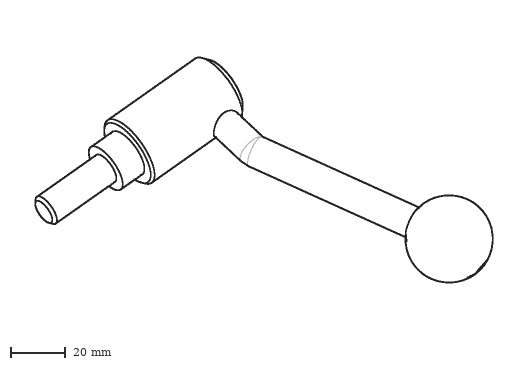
import cadquery as cq
import math


stud_radius = 6.0
stud_length = 29.9
stud_chamfer = 1.2

collar_radius = 9.5
collar_length = 10.5

hub_radius = 14.0
hub_length = 45.8
hub_top_chamfer = 2.5
hub_bottom_chamfer = 1.0
hub_top_y = collar_length + hub_length

ball_radius = 16.0
overall_width = 136.0
overall_depth = 119.81
ball_x = overall_width - hub_radius - ball_radius
ball_y = overall_depth - stud_length - ball_radius

arm_radius = 6.0
arm_y = 46.0
arm_angle = 20.0
bend_radius = 4.0

bend_corner_x = ball_x - (ball_y - arm_y) / math.tan(math.radians(arm_angle))
bend_tangent = bend_radius * math.tan(math.radians(arm_angle / 2))
bend_start_x = bend_corner_x - bend_tangent
inclined_length = math.hypot(ball_x - bend_corner_x, ball_y - arm_y) - bend_tangent
arm_direction = cq.Vector(math.cos(math.radians(arm_angle)), math.sin(math.radians(arm_angle)), 0)
bend_end = cq.Vector(bend_corner_x, arm_y, 0) + arm_direction * bend_tangent


def make_shaft():
    """Stud, collar and hub as one turned profile about the Y axis."""
    profile = (
        cq.Workplane("XY")
        .moveTo(0, -stud_length)
        .lineTo(stud_radius - stud_chamfer, -stud_length)
        .lineTo(stud_radius, stud_chamfer - stud_length)
        .lineTo(stud_radius, 0)
        .lineTo(collar_radius, 0)
        .lineTo(collar_radius, collar_length)
        .lineTo(hub_radius - hub_bottom_chamfer, collar_length)
        .lineTo(hub_radius, collar_length + hub_bottom_chamfer)
        .lineTo(hub_radius, hub_top_y - hub_top_chamfer)
        .lineTo(hub_radius - hub_top_chamfer, hub_top_y)
        .lineTo(0, hub_top_y)
        .close()
    )
    return profile.revolve(360, (0, 0, 0), (0, 1, 0))


def make_rod(start, direction, length):
    """Round arm section from a start point along a direction."""
    return cq.Workplane(cq.Solid.makeCylinder(arm_radius, length, start, direction))


def make_bend():
    """Tight bend: the arm section turned about a pivot that lies inside the section.

    Only the part of the section on the outer side of the pivot is turned; on the
    inner side the two rods run into each other and form a mitre.
    """
    half_chord = math.sqrt(arm_radius**2 - bend_radius**2)
    section = (
        cq.Workplane("YZ", origin=(bend_start_x, arm_y, 0))
        .moveTo(bend_radius, half_chord)
        .threePointArc((-arm_radius, 0), (bend_radius, -half_chord))
        .close()
    )
    return section.revolve(arm_angle, (bend_radius, 0, 0), (bend_radius, 1, 0))


def make_arm():
    straight = make_rod(cq.Vector(0, arm_y, 0), cq.Vector(1, 0, 0), bend_start_x)
    inclined = make_rod(bend_end, arm_direction, inclined_length)
    return straight.union(make_bend()).union(inclined)


def make_ball():
    return cq.Workplane("XY", origin=(ball_x, ball_y, 0)).sphere(ball_radius)


result = make_shaft().union(make_arm()).union(make_ball())